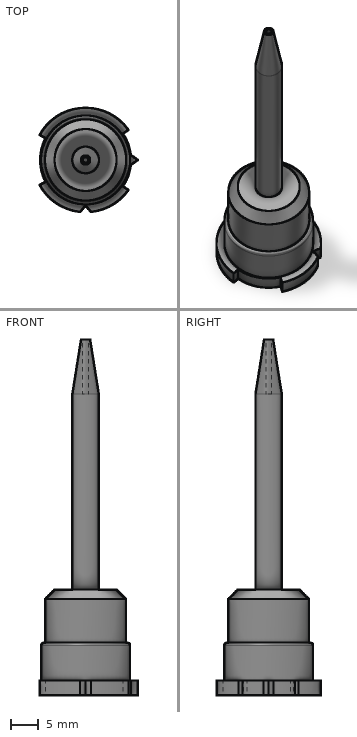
import cadquery as cq
import math

total_height = 64.0
flange_height = 2.7
collar_top = 9.5
head_top = 19.0
taper_start = 54.15

collar_radius = 16.0 / 2
collar_fillet = 0.5
head_radius = 14.6 / 2
head_chamfer = 1.7
pin_radius = 4.8 / 2
tip_radius = 1.65 / 2
bore_diameter = 1.0
bore_depth = total_height - taper_start

flange_radius = 9.4
flange_root_radius = 8.2
lug_start_angle = 35.0
lug_end_angle = 151.5

tooth_half_width = 0.9
notch_half_width = 0.95


def polar(radius, degrees):
    angle = math.radians(degrees)
    return radius * math.cos(angle), radius * math.sin(angle)


def make_body():
    """Collar, chamfered head and tapered pin stacked on one axis."""
    collar = cq.Workplane("XY").circle(collar_radius).extrude(collar_top)
    collar = collar.faces(">Z").edges().fillet(collar_fillet)
    head = cq.Workplane("XY").circle(head_radius).extrude(head_top)
    head = head.faces(">Z").edges().chamfer(head_chamfer)
    pin = (
        cq.Workplane("XZ")
        .polyline([
            (0, 0),
            (pin_radius, 0),
            (pin_radius, taper_start),
            (tip_radius, total_height),
            (0, total_height),
        ])
        .close()
        .revolve(360, (0, 0), (0, 1))
    )
    return collar.union(head).union(pin)


def make_lug():
    """Ring sector on the +Y side with radial ends."""
    middle_angle = (lug_start_angle + lug_end_angle) / 2
    return (
        cq.Workplane("XY")
        .moveTo(0, 0)
        .lineTo(*polar(flange_radius, lug_start_angle))
        .threePointArc(polar(flange_radius, middle_angle), polar(flange_radius, lug_end_angle))
        .close()
        .extrude(flange_height)
    )


def make_tooth():
    """Triangular pointer reaching the flange radius on +X."""
    base_x = math.sqrt(flange_root_radius**2 - tooth_half_width**2)
    return (
        cq.Workplane("XY")
        .polyline([
            (0, 0),
            (base_x, -tooth_half_width),
            (flange_radius, 0),
            (base_x, tooth_half_width),
        ])
        .close()
        .extrude(flange_height)
    )


def make_notch():
    """V-shaped cutter on -Y whose apex touches the root circle."""
    mouth_y = -math.sqrt(flange_radius**2 - notch_half_width**2)
    outside_y = -2 * flange_radius
    return (
        cq.Workplane("XY")
        .polyline([
            (0, -flange_root_radius),
            (notch_half_width, mouth_y),
            (notch_half_width, outside_y),
            (-notch_half_width, outside_y),
            (-notch_half_width, mouth_y),
        ])
        .close()
        .extrude(flange_height)
    )


def make_flange():
    disc = cq.Workplane("XY").circle(flange_root_radius).extrude(flange_height)
    lug = make_lug()
    notched_lug = lug.mirror("XZ").cut(make_notch())
    return disc.union(lug).union(notched_lug).union(make_tooth())


tip_bore = (
    cq.Workplane("XY")
    .workplane(offset=total_height - bore_depth)
    .circle(bore_diameter / 2)
    .extrude(bore_depth)
)

result = make_body().union(make_flange()).cut(tip_bore)